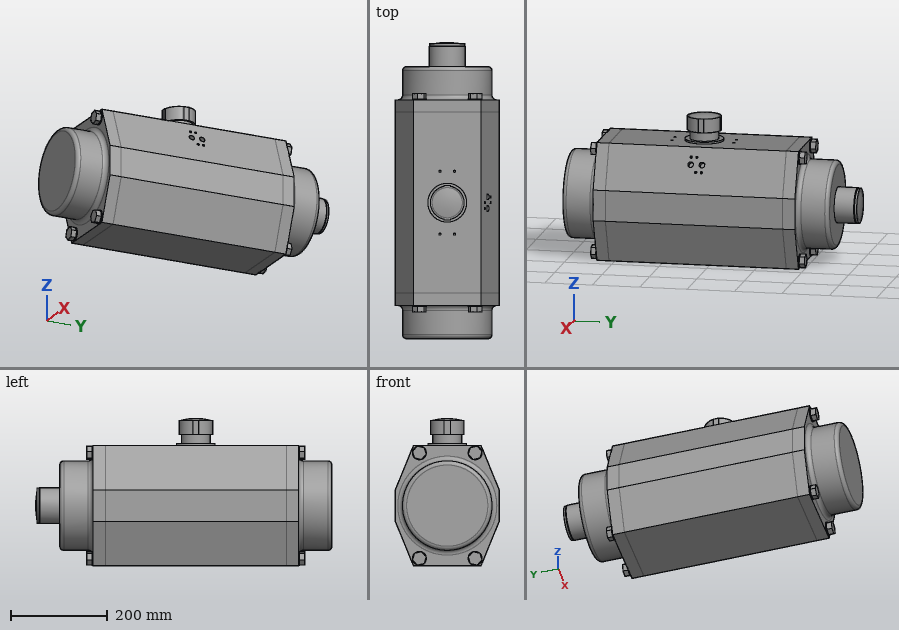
import cadquery as cq
import math


BODY_WIDTH = 215.0
BODY_HEIGHT = 249.5
TOP_FLAT_WIDTH = 140.0
SIDE_FLAT_HEIGHT = 65.0
BODY_LENGTH = 425.5
COVER_THICKNESS = 26.0

CAP_DIAMETER = 185.0
CAP_LENGTH = 68.5
CAP_EDGE_RADIUS = 8.5
CAP_ROOT_RADIUS = 10.0

BOLT_X = 57.5
BOLT_Z = 109.0
BOLT_DIAMETER = 29.0
WASHER_THICKNESS = 2.0
BOLT_HEIGHT = 13.0
HEX_TURN = 13.0

ADJUSTER_DIAMETER = 75.0
ADJUSTER_LENGTH = 43.0
ADJUSTER_RIM_LENGTH = 2.0
ADJUSTER_LID_DIAMETER = 73.0
ADJUSTER_LID_THICKNESS = 4.0
ADJUSTER_DOME_DIAMETER = 60.0
ADJUSTER_DOME_HEIGHT = 3.0

COLLAR_DIAMETER = 80.0
COLLAR_THICKNESS = 3.5
NECK_DIAMETER = 60.0
NECK_HEIGHT = 18.5
KNOB_DIAMETER = 69.0
KNOB_HEIGHT = 29.5
KNOB_DOME_DIAMETER = 62.5
KNOB_DOME_HEIGHT = 4.0
MARK_WIDTH = 13.0
MARK_DEPTH = 0.5
TAPERED_MARK_FOOT = 15.0
TAPERED_MARK_TIP = 11.0

SCREW_HOLE_DIAMETER = 4.2
SCREW_HOLE_DEPTH = 10.0
TOP_HOLE_SPACING_X = 30.0
TOP_HOLE_SPACING_Y = 130.0

PORT_DIAMETER = 11.5
PORT_DEPTH = 15.0
PORT_SPACING = 24.0
PORT_SCREW_SPACING = 32.0
PORT_X = 84.0

BODY_END = BODY_LENGTH / 2
BODY_TOP = BODY_HEIGHT / 2
CAP_END = BODY_END + CAP_LENGTH


def along_y(start_y):
    """Workplane at start_y whose normal is +Y; local x is -X and local y is +Z."""
    return cq.Workplane("XZ", origin=(0, start_y, 0)).transformed(rotate=(0, 180, 0))


def body_section(start_y, length):
    x_flat, x_side = TOP_FLAT_WIDTH / 2, BODY_WIDTH / 2
    z_side = SIDE_FLAT_HEIGHT / 2
    outline = [
        (x_flat, BODY_TOP), (x_side, z_side), (x_side, -z_side), (x_flat, -BODY_TOP),
        (-x_flat, -BODY_TOP), (-x_side, -z_side), (-x_side, z_side), (-x_flat, BODY_TOP),
    ]
    return along_y(start_y).polyline(outline).close().extrude(length)


def end_cap():
    """Cap on the +Y end: concave root, straight wall and rounded rim."""
    radius = CAP_DIAMETER / 2
    arc = math.sqrt(0.5)
    root, edge = CAP_ROOT_RADIUS, CAP_EDGE_RADIUS
    return (
        cq.Workplane("XY")
        .moveTo(0, BODY_END)
        .lineTo(radius + root, BODY_END)
        .threePointArc(
            (radius + root * (1 - arc), BODY_END + root * (1 - arc)), (radius, BODY_END + root)
        )
        .lineTo(radius, CAP_END - edge)
        .threePointArc(
            (radius - edge * (1 - arc), CAP_END - edge * (1 - arc)), (radius - edge, CAP_END)
        )
        .lineTo(0, CAP_END)
        .close()
        .revolve(360, (0, 0, 0), (0, 1, 0))
    )


def cover_bolts():
    """Four bolts on the +Y cover, their hexagons mirrored about both centre planes."""
    washer = along_y(BODY_END).center(BOLT_X, BOLT_Z).circle(BOLT_DIAMETER / 2)
    washer = washer.extrude(WASHER_THICKNESS)
    head = (
        along_y(BODY_END)
        .center(BOLT_X, BOLT_Z)
        .transformed(rotate=(0, 0, HEX_TURN))
        .polygon(6, BOLT_DIAMETER)
        .extrude(BOLT_HEIGHT)
    )
    upper_pair = washer.union(head)
    upper_pair = upper_pair.union(upper_pair.mirror("YZ"))
    return upper_pair.union(upper_pair.mirror("XY"))


def dome(base_diameter, height):
    """Shallow spherical dome standing on the XY plane."""
    sphere_radius = ((base_diameter / 2) ** 2 + height**2) / (2 * height)
    sphere = cq.Workplane("XY").sphere(sphere_radius).rotate((0, 0, 0), (0, 1, 0), 90)
    sphere = sphere.translate((0, 0, height - sphere_radius))
    return cq.Workplane("XY").circle(base_diameter / 2).extrude(height).intersect(sphere)


def adjuster():
    lid_start = CAP_END + ADJUSTER_LENGTH
    lid_end = lid_start + ADJUSTER_LID_THICKNESS
    barrel = along_y(CAP_END).circle(ADJUSTER_DIAMETER / 2).extrude(ADJUSTER_LENGTH)
    rim_step = (ADJUSTER_DIAMETER - ADJUSTER_LID_DIAMETER) / 2
    barrel = barrel.faces(">Y").chamfer(ADJUSTER_RIM_LENGTH, rim_step)
    lid = along_y(lid_start).circle(ADJUSTER_LID_DIAMETER / 2).extrude(ADJUSTER_LID_THICKNESS)
    tip = dome(ADJUSTER_DOME_DIAMETER, ADJUSTER_DOME_HEIGHT)
    tip = tip.rotate((0, 0, 0), (1, 0, 0), -90).translate((0, lid_end, 0))
    return barrel.union(lid).union(tip)


def position_marks(start_z):
    """Upright pads on the knob: square-sided on the Y sides, tapered on the X sides."""
    knob_radius = KNOB_DIAMETER / 2
    square_pads = (
        cq.Workplane("XY", origin=(0, 0, start_z))
        .rect(MARK_WIDTH, KNOB_DIAMETER + 2 * MARK_DEPTH)
        .extrude(KNOB_HEIGHT)
    )
    foot, tip = TAPERED_MARK_FOOT / 2, TAPERED_MARK_TIP / 2
    foot_x = math.sqrt(knob_radius**2 - foot**2)
    tapered_pads = (
        cq.Workplane("XY", origin=(0, 0, start_z))
        .polyline([
            (foot_x, -foot), (knob_radius, -tip), (knob_radius, tip), (foot_x, foot),
            (-foot_x, foot), (-knob_radius, tip), (-knob_radius, -tip), (-foot_x, -foot),
        ])
        .close()
        .extrude(KNOB_HEIGHT)
    )
    return square_pads.union(tapered_pads)


def indicator():
    knob_start = COLLAR_THICKNESS + NECK_HEIGHT
    knob_end = knob_start + KNOB_HEIGHT
    post = (
        cq.Workplane("XY")
        .circle(COLLAR_DIAMETER / 2).extrude(COLLAR_THICKNESS)
        .faces(">Z").workplane().circle(NECK_DIAMETER / 2).extrude(NECK_HEIGHT)
    )
    knob = cq.Workplane("XY", origin=(0, 0, knob_start)).circle(KNOB_DIAMETER / 2)
    knob = knob.extrude(KNOB_HEIGHT)
    cap = dome(KNOB_DOME_DIAMETER, KNOB_DOME_HEIGHT).translate((0, 0, knob_end))
    return post.union(knob).union(position_marks(knob_start)).union(cap).translate((0, 0, BODY_TOP))


def top_holes():
    return (
        cq.Workplane("XY", origin=(0, 0, BODY_TOP))
        .rect(TOP_HOLE_SPACING_X, TOP_HOLE_SPACING_Y, forConstruction=True)
        .vertices()
        .circle(SCREW_HOLE_DIAMETER / 2)
        .extrude(-SCREW_HOLE_DEPTH)
    )


def air_ports():
    """Two ports and their screw holes, drilled square to the sloping face."""
    run = (BODY_WIDTH - TOP_FLAT_WIDTH) / 2
    drop = (BODY_HEIGHT - SIDE_FLAT_HEIGHT) / 2
    port_z = BODY_TOP - (PORT_X - TOP_FLAT_WIDTH / 2) * drop / run
    face = cq.Workplane(cq.Plane(origin=(PORT_X, 0, port_z), xDir=(0, 1, 0), normal=(drop, 0, run)))
    side, up = PORT_SPACING / 2, PORT_SCREW_SPACING / 2
    ports = face.pushPoints([(-side, 0), (side, 0)]).circle(PORT_DIAMETER / 2).extrude(-PORT_DEPTH)
    screw_points = [(side, -up), (0, -up), (0, up), (-side, up)]
    screws = face.pushPoints(screw_points).circle(SCREW_HOLE_DIAMETER / 2).extrude(-SCREW_HOLE_DEPTH)
    return ports.union(screws)


barrel_end = BODY_END - COVER_THICKNESS
end_fittings = end_cap().union(cover_bolts())
housing = body_section(-barrel_end, 2 * barrel_end)
cover = body_section(barrel_end, COVER_THICKNESS)

result = housing
additions = [
    cover, cover.mirror("XZ"), end_fittings, end_fittings.mirror("XZ"), adjuster(), indicator(),
]
for piece in additions:
    result = result.union(piece, clean=False)
for holes in (top_holes(), air_ports()):
    result = result.cut(holes, clean=False)